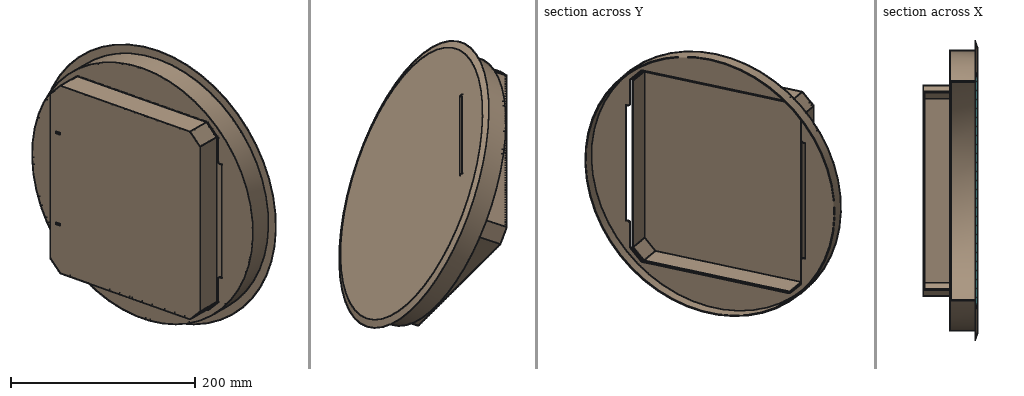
import cadquery as cq

rim_radius = 162.5
flat_radius = 154.0
disc_thickness = 3.0

sheet = 1.5

drum_radius = 152.0
drum_front = -30.2

opening_width = 208.5
opening_height = 228.5
opening_corner = 14.5
notch_width = 218.5
notch_height = 137.8
notch_chamfer = 1.3

box_front = -59.0
box_width = 206.5
box_height = 228.0
box_corner = 14.0
box_left = -opening_width / 2
box_center_x = box_left + box_width / 2

box_slot_width = 5.2
box_slot_height = 2.0
box_slot_x = -94.0
box_slot_spacing = 110.5

disc_slot_length = 104.5
disc_slot_width = notch_width / 2 + box_left
disc_slot_x = box_left - disc_slot_width / 2


def front_plane(y):
    """Workplane at depth y that faces -Y, with local x along +X and local y along +Z."""
    return cq.Workplane("XZ", origin=(0, y, 0))


def chamfered_block(center_x, width, height, corner, back, front):
    """Rectangular block between two depths, with its four edges along Y chamfered."""
    block = front_plane(back).center(center_x, 0).rect(width, height).extrude(back - front)
    return block.edges("|Y").chamfer(corner)


def revolve_about_y(profile):
    """Turn a closed outline of (y, radius) points once around the Y axis."""
    return cq.Workplane("YZ").polyline(profile).close().revolve(360, (0, 0, 0), (1, 0, 0))


def make_disc():
    front = -disc_thickness
    disc = revolve_about_y([(0, 0), (0, flat_radius), (front, rim_radius), (front, 0)])
    slot = (
        front_plane(0)
        .center(disc_slot_x, 0)
        .rect(disc_slot_width, disc_slot_length)
        .extrude(disc_thickness)
    )
    return disc.cut(slot)


def make_notch():
    """Wide middle part of the drum opening, flared where it meets the sides of the opening."""
    side = opening_width / 2
    half_width = notch_width / 2
    half_height = notch_height / 2
    flared_height = half_height + notch_chamfer
    upper_right = [
        (side, flared_height),
        (side + notch_chamfer, half_height),
        (half_width, half_height),
    ]
    lower_right = [(x, -z) for x, z in reversed(upper_right)]
    right = upper_right + lower_right
    left = [(-x, -z) for x, z in right]
    return front_plane(drum_front + sheet).polyline(right + left).close().extrude(sheet)


def make_drum():
    back = -disc_thickness
    inner_front = drum_front + sheet
    inner_radius = drum_radius - sheet
    profile = [
        (back, inner_radius),
        (back, drum_radius),
        (drum_front, drum_radius),
        (drum_front, 0),
        (inner_front, 0),
        (inner_front, inner_radius),
    ]
    opening = chamfered_block(0, opening_width, opening_height, opening_corner, inner_front, drum_front)
    return revolve_about_y(profile).cut(opening).cut(make_notch())


def make_box():
    inner_front = box_front + sheet
    outside = chamfered_block(box_center_x, box_width, box_height, box_corner, drum_front, box_front)
    tray = outside.faces(">Y").shell(-sheet, kind="intersection")
    slots = (
        front_plane(inner_front)
        .center(box_slot_x, 0)
        .rarray(3.2, box_slot_spacing, 1, 2)
        .rect(box_slot_width, box_slot_height)
        .extrude(sheet)
    )
    return tray.cut(slots)


disc = make_disc()
drum = make_drum()
box = make_box()

result = cq.Compound.makeCompound([body.solids().val() for body in (disc, drum, box)])